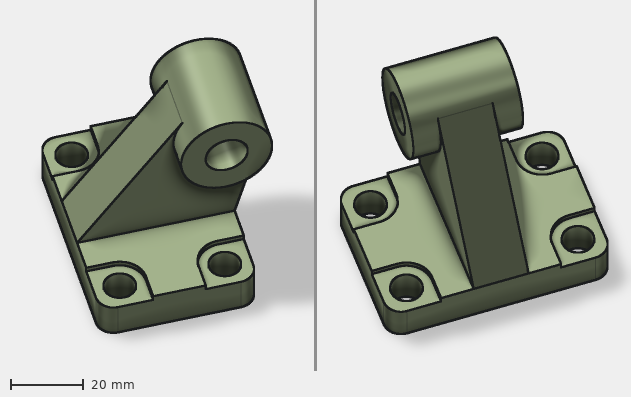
import cadquery as cq
import math

base_length = 65.0
base_width = 45.0
base_height = 12.0
base_corner_radius = 5.0

hole_diameter = 9.0
hole_edge_distance = 7.5
recess_depth = 1.5
recess_radius = hole_edge_distance
recess_size = hole_edge_distance + recess_radius

barrel_diameter = 26.0
barrel_length = 32.0
bore_diameter = 12.0
barrel_back_offset = 4.5
barrel_axis_y = base_width / 2 - barrel_back_offset
barrel_axis_z = 45.0

web_thickness = 16.0


def tangent_point(y, z, side):
    """Point where a line from (y, z) touches the barrel; side picks one of the two tangents."""
    radius = barrel_diameter / 2
    dy = y - barrel_axis_y
    dz = z - barrel_axis_z
    angle = math.atan2(dz, dy) + side * math.acos(radius / math.hypot(dy, dz))
    return barrel_axis_y + radius * math.cos(angle), barrel_axis_z + radius * math.sin(angle)


def x_cylinder(diameter, length):
    """Cylinder on the barrel axis, centred on X = 0."""
    return (
        cq.Workplane("YZ")
        .workplane(offset=-length / 2)
        .center(barrel_axis_y, barrel_axis_z)
        .circle(diameter / 2)
        .extrude(length)
    )


def make_base():
    return (
        cq.Workplane("XY")
        .box(base_length, base_width, base_height, centered=(True, True, False))
        .edges("|Z")
        .fillet(base_corner_radius)
    )


def make_web():
    """Plate tapering from the full base width to the barrel, tangent to it on both sides."""
    front = (-base_width / 2, base_height)
    back = (base_width / 2, base_height)
    return (
        cq.Workplane("YZ")
        .workplane(offset=-web_thickness / 2)
        .polyline([
            front,
            back,
            tangent_point(*back, side=1),
            (barrel_axis_y, barrel_axis_z),
            tangent_point(*front, side=-1),
        ])
        .close()
        .extrude(web_thickness)
    )


def make_corner_recess(x_side, y_side):
    """Square corner cutter whose inward corner is rounded about the hole centre."""
    edge_x = x_side * base_length / 2
    edge_y = y_side * base_width / 2
    inner_x = edge_x - x_side * recess_size
    inner_y = edge_y - y_side * recess_size
    hole_x = edge_x - x_side * hole_edge_distance
    hole_y = edge_y - y_side * hole_edge_distance
    arc_reach = recess_radius * math.cos(math.pi / 4)
    return (
        cq.Workplane("XY")
        .workplane(offset=base_height - recess_depth)
        .moveTo(edge_x, edge_y)
        .lineTo(inner_x, edge_y)
        .lineTo(inner_x, hole_y)
        .threePointArc(
            (hole_x - x_side * arc_reach, hole_y - y_side * arc_reach),
            (hole_x, inner_y),
        )
        .lineTo(edge_x, inner_y)
        .close()
        .extrude(recess_depth)
    )


def make_mounting_holes():
    return (
        cq.Workplane("XY")
        .rarray(
            base_length - 2 * hole_edge_distance,
            base_width - 2 * hole_edge_distance,
            2,
            2,
        )
        .circle(hole_diameter / 2)
        .extrude(base_height)
    )


base = make_base().cut(make_mounting_holes())
for x_side in (-1, 1):
    for y_side in (-1, 1):
        base = base.cut(make_corner_recess(x_side, y_side))

result = (
    base.union(make_web())
    .union(x_cylinder(barrel_diameter, barrel_length))
    .cut(x_cylinder(bore_diameter, barrel_length))
)